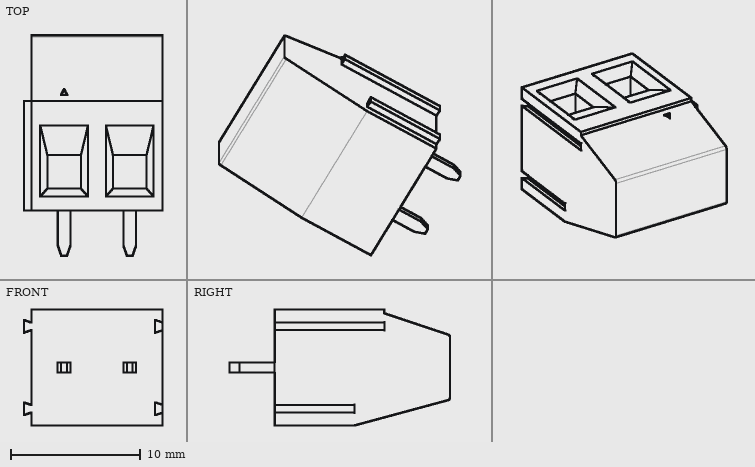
import cadquery as cq
import math


ways = 2
pitch = 5.08
body_width = ways * pitch
body_height = 9.0
body_depth = 13.6
step_y = 8.5
step_height = 0.3
back_top_z = 7.0
back_bottom_z = 2.0
underside_end_y = 6.2
back_radius = 0.25

overall_width = 10.73
rib_height = overall_width - body_width
rib_root_width = 0.6
rib_tip_width = 1.0
upper_rib_z = 7.68
lower_rib_z = 1.3

mouth_width = 3.7
mouth_length = 5.5
mouth_front_y = 1.1
shaft_width = 2.6
shaft_length = 2.6
shaft_front_y = 1.7
funnel_depth = 0.9
opening_depth = 5.0

pin_width = 1.0
pin_thickness = 0.8
pin_length = 3.5
pin_tip_length = 0.8
pin_tip_width = 0.45
pin_z = body_height / 2

mark_base = 0.5
mark_height = 0.45
mark_depth = 0.2
mark_front_y = 8.97


def way_centre(index):
    return (index + 0.5) * pitch


def make_body():
    """Side profile in the YZ plane, extruded along X."""
    body = (
        cq.Workplane("YZ")
        .moveTo(0, 0)
        .lineTo(underside_end_y, 0)
        .lineTo(body_depth, back_bottom_z)
        .lineTo(body_depth, back_top_z)
        .lineTo(step_y, body_height - step_height)
        .lineTo(step_y, body_height)
        .lineTo(0, body_height)
        .close()
        .extrude(body_width)
    )
    return body.edges("|X").edges(">Y").fillet(back_radius)


def make_dovetail(wall_x, centre_z, length):
    """Dovetail bar along Y standing on the plane X = wall_x and widening towards -X."""
    tip_x = wall_x - rib_height
    root = rib_root_width / 2
    tip = rib_tip_width / 2
    return (
        cq.Workplane("XZ")
        .polyline(
            [
                (wall_x, centre_z - root),
                (tip_x, centre_z - tip),
                (tip_x, centre_z + tip),
                (wall_x, centre_z + root),
            ]
        )
        .close()
        .extrude(-length)
    )


def make_opening(centre_x):
    """Funnel narrowing into a blind rectangular shaft, sunk from the top face."""
    mouth_y = mouth_front_y + mouth_length / 2
    shaft_y = shaft_front_y + shaft_length / 2
    funnel = (
        cq.Workplane("XY", origin=(centre_x, mouth_y, body_height))
        .rect(mouth_width, mouth_length)
        .workplane(offset=-funnel_depth)
        .center(0, shaft_y - mouth_y)
        .rect(shaft_width, shaft_length)
        .loft(ruled=True)
    )
    shaft = (
        cq.Workplane("XY", origin=(centre_x, shaft_y, body_height - funnel_depth))
        .rect(shaft_width, shaft_length)
        .extrude(funnel_depth - opening_depth)
    )
    return funnel.union(shaft)


def make_pin(centre_x):
    """Flat pin pointing along -Y with a tip tapered in width."""
    half = pin_width / 2
    half_tip = pin_tip_width / 2
    shoulder_y = pin_tip_length - pin_length
    return (
        cq.Workplane("XY", origin=(centre_x, 0, pin_z - pin_thickness / 2))
        .polyline(
            [
                (-half, 0),
                (-half, shoulder_y),
                (-half_tip, -pin_length),
                (half_tip, -pin_length),
                (half, shoulder_y),
                (half, 0),
            ]
        )
        .close()
        .extrude(pin_thickness)
    )


def make_mark():
    """Triangle sunk square to the sloping top, in line with the first pin."""
    run = body_depth - step_y
    drop = body_height - step_height - back_top_z
    slope_length = math.hypot(run, drop)
    mark_z = body_height - step_height - (mark_front_y - step_y) * drop / run
    slope = cq.Plane(
        origin=(way_centre(0), mark_front_y, mark_z),
        xDir=(1, 0, 0),
        normal=(0, drop, run),
    )
    return (
        cq.Workplane(slope)
        .moveTo(-mark_base / 2, 0)
        .lineTo(mark_base / 2, 0)
        .lineTo(0, mark_height * slope_length / run)
        .close()
        .extrude(-mark_depth)
    )


result = make_body()

for rib_z, rib_length in ((upper_rib_z, step_y), (lower_rib_z, underside_end_y)):
    result = result.union(make_dovetail(0, rib_z, rib_length))
    result = result.cut(make_dovetail(body_width, rib_z, rib_length))

for way in range(ways):
    result = result.cut(make_opening(way_centre(way)))
    result = result.union(make_pin(way_centre(way)))

result = result.cut(make_mark())